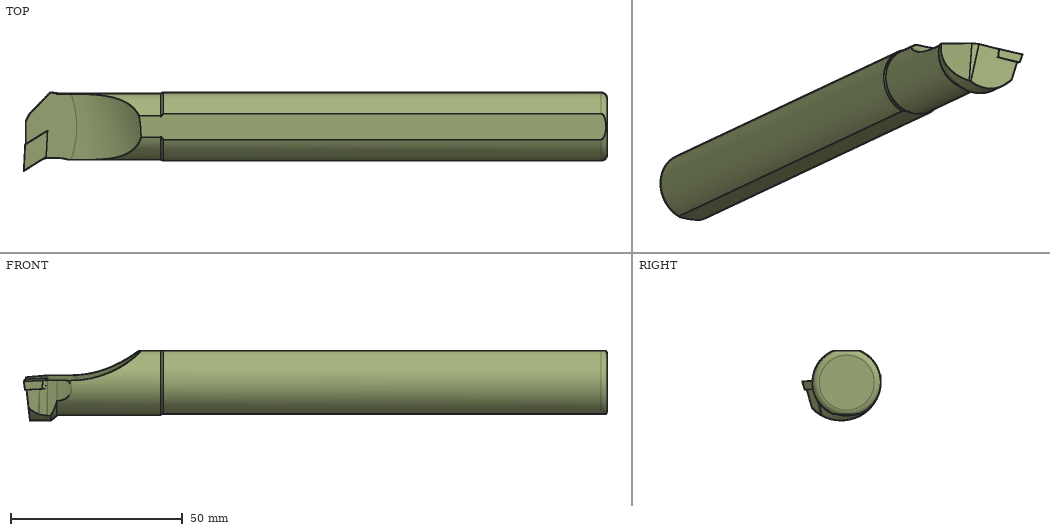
import cadquery as cq
import math

overall_length = 170.0
shank_radius = 10.0
shank_start = 40.0
shank_end_round = 2.0
flat_height = 9.25

step_length = 0.7
step_depth = 0.3

neck_radius = 9.7
neck_center_z = 0.06

head_radius = 11.6
head_center_y = -1.58
head_center_z = 0.46
head_straight_end = 7.9
head_end = 9.7
head_back_radius = 9.8

rake_angle = 4.7
rake_height = 1.34
rake_flat_end = 15.4
rake_flat_radius = 29.0
runout_radius = 26.0

tip_y = -13.0
insert_inscribed_circle = 6.35
insert_angle = 55.0
insert_thickness = 2.5
insert_clearance = 7.0
lead_angle = 3.0
insert_side = insert_inscribed_circle / math.sin(math.radians(insert_angle))
end_edge_angle = 90.0 - lead_angle
flank_angle = end_edge_angle - insert_angle

relief_angle = 6.0
relief_depth = 2 * shank_radius
end_face_x = 0.55
flank_setback = 0.3
side_face_y = -9.2
scoop_start = head_end
scoop_radius = 11.0
scoop_run = 5.0
facet_start_x = 4.7
facet_end_x = 6.9
clear = 10.0

corner_start_y = 1.5
corner_facet_run = 0.9
corner_facet_rise = 1.9
corner_angle = 46.0
corner_relief_angle = 3.0

rake_plane = cq.Plane(
    origin=(0, 0, rake_height),
    xDir=(1, 0, 0),
    normal=(0, -math.sin(math.radians(rake_angle)), math.cos(math.radians(rake_angle))),
)


def x_cylinder(radius, start, end, y=0.0, z=0.0):
    return cq.Workplane("YZ", origin=(start, y, z)).circle(radius).extrude(end - start)


def make_shank():
    round_center_x = overall_length - shank_end_round
    round_center_r = shank_radius - shank_end_round
    round_mid = shank_end_round * math.sin(math.radians(45))
    return (
        cq.Workplane("XY")
        .moveTo(shank_start, 0)
        .lineTo(shank_start, shank_radius - step_depth)
        .lineTo(shank_start + step_length, shank_radius)
        .lineTo(round_center_x, shank_radius)
        .threePointArc(
            (round_center_x + round_mid, round_center_r + round_mid),
            (overall_length, round_center_r),
        )
        .lineTo(overall_length, 0)
        .close()
        .revolve(360, (0, 0, 0), (1, 0, 0))
    )


def make_head():
    barrel = x_cylinder(head_radius, 0, head_straight_end, head_center_y, head_center_z)
    cone = (
        cq.Workplane("YZ", origin=(head_straight_end, head_center_y, head_center_z))
        .circle(head_radius)
        .workplane(offset=head_end - head_straight_end)
        .center(-head_center_y, neck_center_z - head_center_z)
        .circle(head_back_radius)
        .loft()
    )
    return barrel.union(cone)


def make_flats_waste():
    """Upper flat along the whole bar and lower flat along the shank only."""
    size = 4 * shank_radius
    block = cq.Workplane("XY").box(overall_length, size, size, centered=(False, True, False))
    upper = block.translate((0, 0, flat_height))
    lower = block.translate((shank_start, 0, -flat_height - size))
    return upper.union(lower)


def make_rake_waste():
    """Everything above the rake face, with a toroidal run-out at its back."""
    axis_x = rake_flat_end - rake_flat_radius
    arc_mid = math.radians(45)
    outer_x = rake_flat_end + runout_radius
    return (
        cq.Workplane(cq.Plane(origin=rake_plane.origin, xDir=(1, 0, 0), normal=-rake_plane.yDir))
        .moveTo(axis_x, 0)
        .lineTo(rake_flat_end, 0)
        .threePointArc(
            (
                rake_flat_end + runout_radius * math.sin(arc_mid),
                runout_radius * (1 - math.cos(arc_mid)),
            ),
            (outer_x, runout_radius),
        )
        .lineTo(axis_x, runout_radius)
        .close()
        .revolve(360, (axis_x, 0, 0), (axis_x, 1, 0))
    )


def edge_point(distance, angle):
    """Point on the rake plane at a distance from the insert tip, angle from +X."""
    return (
        distance * math.cos(math.radians(angle)),
        tip_y + distance * math.sin(math.radians(angle)),
    )


def make_insert():
    tip = (0, tip_y)
    end_corner = edge_point(insert_side, end_edge_angle)
    flank_corner = edge_point(insert_side, flank_angle)
    far_corner = (end_corner[0] + flank_corner[0], end_corner[1] + flank_corner[1] - tip_y)
    return (
        cq.Workplane(rake_plane)
        .polyline([tip, flank_corner, far_corner, end_corner])
        .close()
        .extrude(-insert_thickness, taper=insert_clearance)
    )


def make_relief_waste():
    """Everything outside the end face, flank, side face and scoop, all leaning inward below."""
    slope = math.tan(math.radians(flank_angle))
    flank_y0 = tip_y + flank_setback / math.cos(math.radians(flank_angle))
    scoop_angle = math.asin(scoop_run / scoop_radius)

    def scoop_point(angle):
        return (
            scoop_start + scoop_radius * math.sin(angle),
            side_face_y - scoop_radius * (1 - math.cos(angle)),
        )

    scoop_end = scoop_point(scoop_angle)
    far_y = 2 * head_radius
    return (
        cq.Workplane(rake_plane)
        .moveTo(-clear, far_y)
        .lineTo(-clear, -far_y)
        .lineTo(scoop_end[0], -far_y)
        .lineTo(*scoop_end)
        .threePointArc(scoop_point(scoop_angle / 2), (scoop_start, side_face_y))
        .lineTo(facet_end_x, side_face_y)
        .lineTo(facet_start_x, flank_y0 + facet_start_x * slope)
        .lineTo(end_face_x, flank_y0 + end_face_x * slope)
        .lineTo(end_face_x, far_y)
        .close()
        .extrude(-relief_depth, taper=-relief_angle)
    )


def make_corner_waste():
    """Slanted corner of the nose with a narrow facet between it and the end face."""
    rise = 2 * head_radius
    run = rise / math.tan(math.radians(corner_angle))
    bevel_x = end_face_x + corner_facet_run
    bevel_y = corner_start_y + corner_facet_rise
    facet_slope = corner_facet_rise / corner_facet_run
    return (
        cq.Workplane(rake_plane)
        .polyline(
            [
                (bevel_x, bevel_y),
                (bevel_x + run, bevel_y + rise),
                (-clear, bevel_y + rise),
                (-clear, bevel_y - (bevel_x + clear) * facet_slope),
            ]
        )
        .close()
        .extrude(-relief_depth, taper=-corner_relief_angle)
    )


insert = make_insert()
neck = x_cylinder(neck_radius, 0, shank_start, z=neck_center_z)
holder = (
    make_shank()
    .union(neck)
    .union(make_head())
    .cut(make_flats_waste())
    .cut(make_rake_waste())
    .cut(make_relief_waste())
    .cut(make_corner_waste())
    .cut(insert)
)

result = cq.Compound.makeCompound([holder.val(), insert.val()])